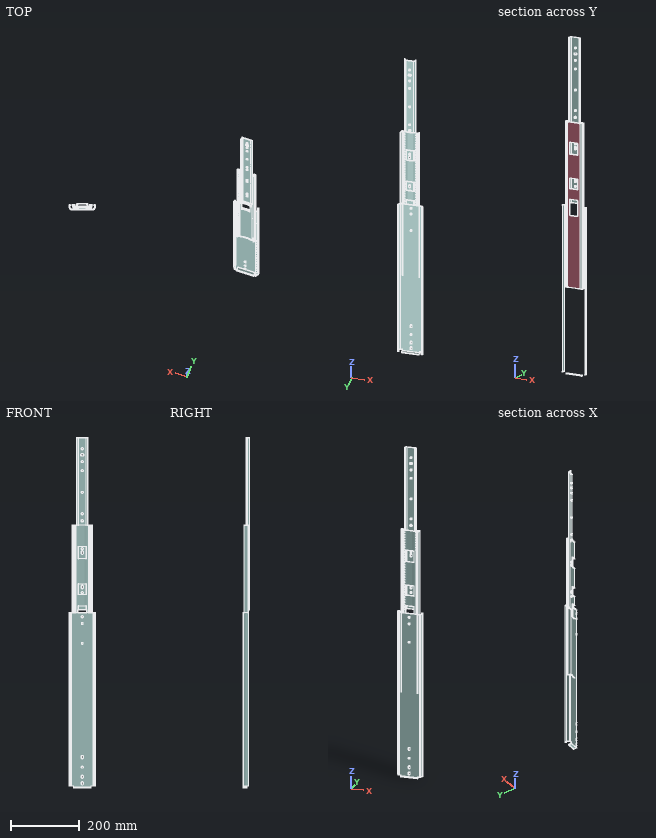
import cadquery as cq


total_length = 1016.0
travel = total_length / 4
rail_length = total_length / 2
total_width = 77.13
total_depth = 19.3
sheet = 2.4
hole_diameter = 5.2
countersink_diameter = 7.1
cutter_reach = 2 * total_depth

inner_back_half_width = 15.6
inner_bend_half_width = 17.0
inner_front_half_width = 17.4
inner_lip_width = 1.6
inner_floor_half_width = 11.6
inner_corner_y = -5.8
inner_bend_y = -5.0
inner_front_y = -9.9
inner_length = 500.0

middle_length = 500.0
middle_half_width = 29.1
middle_back_half_width = 28.2
middle_bend_half_width = 27.3
middle_tip_half_width = 25.9
middle_tip_width = sheet
middle_inner_leg_back_x = 21.8
middle_inner_leg_foot_x = 18.6
middle_back_y = -2.6
middle_shoulder_y = -5.0
middle_bend_y = -11.0
middle_front_y = -16.3
middle_web_y = -13.4
middle_raise = 1.5
raise_half_width = 7.6
raise_foot_half_width = 13.2

outer_half_width = total_width / 2
outer_back_y = -2.6
outer_lip_half_gap = 33.0
outer_lip_tip_y = -5.2
outer_side_x = 36.3
outer_side_front_y = -14.2
outer_bulge_y = (outer_back_y + outer_side_front_y) / 2
outer_corner = (35.0, -17.2)
outer_face_half_width = 32.0
tab_height = 5.0
tab_half_width = 26.0
tab_back_y = -7.5


def mirrored_rail(half_points, start_z, length):
    """Extrude along Z a profile given by its +X half, listed from x = 0 to x = 0."""
    half = cq.Workplane("XY").workplane(offset=start_z).polyline(half_points).close().extrude(length)
    return half.union(half.mirror("YZ"))


def slot(center_z, length, angle):
    """Cutter along Y for a slot; the angle is 0 along X and 90 along Z."""
    sketch = cq.Workplane("XZ").center(0, center_z).slot2D(length, hole_diameter, angle)
    return sketch.extrude(cutter_reach, both=True)


def round_hole(center_z):
    """Cutter along Y for a round hole."""
    return cq.Workplane("XZ").center(0, center_z).circle(hole_diameter / 2).extrude(cutter_reach, both=True)


inner_holes = [984, 946.5, 920.5, 857, 795, 693.5, 566.5]
inner_slots = [682, 582.8]
inner_slot_length = 9.6
inner_wide_slot_z = 966.0
inner_wide_slot_length = 9.0
inner_countersunk_z = 774.5


def build_inner_rail():
    bottom = total_length - inner_length
    lip_inside_x = inner_front_half_width - inner_lip_width
    profile = [
        (0, 0),
        (inner_back_half_width, 0),
        (inner_bend_half_width, inner_bend_y),
        (inner_front_half_width, inner_front_y),
        (lip_inside_x, inner_front_y),
        (lip_inside_x, inner_corner_y),
        (inner_floor_half_width, -sheet),
        (0, -sheet),
    ]
    rail = mirrored_rail(profile, bottom, inner_length)
    for z in inner_holes:
        rail = rail.cut(round_hole(z))
    for z in inner_slots:
        rail = rail.cut(slot(z, inner_slot_length, 90))
    rail = rail.cut(slot(inner_wide_slot_z, inner_wide_slot_length, 0))
    cone = cq.Workplane("XZ", origin=(0, -sheet, inner_countersunk_z)).circle(countersink_diameter / 2)
    cone = cone.workplane(offset=-sheet).circle(hole_diameter / 2).loft()
    return rail.cut(cone)


window_half_width = 12.6
windows = [(665, 700), (561, 592), (480, 528)]


def build_middle_rail():
    top = travel + rail_length
    web_back_y = middle_web_y + sheet
    profile = [
        (0, middle_web_y + middle_raise),
        (raise_half_width, middle_web_y + middle_raise),
        (raise_foot_half_width, middle_web_y),
        (middle_inner_leg_foot_x + sheet, middle_web_y),
        (middle_inner_leg_back_x + sheet, middle_back_y - sheet),
        (middle_back_half_width - sheet, middle_back_y - sheet),
        (middle_tip_half_width - middle_tip_width, middle_front_y),
        (middle_tip_half_width, middle_front_y),
        (middle_bend_half_width, middle_bend_y),
        (middle_half_width, middle_shoulder_y),
        (middle_back_half_width, middle_back_y),
        (middle_inner_leg_back_x, middle_back_y),
        (middle_inner_leg_foot_x, web_back_y),
        (raise_foot_half_width, web_back_y),
        (raise_half_width, web_back_y + middle_raise),
        (0, web_back_y + middle_raise),
    ]
    rail = mirrored_rail(profile, top - middle_length, middle_length)
    for low, high in windows:
        window = cq.Workplane("XY").box(2 * window_half_width, 2 * cutter_reach, high - low)
        rail = rail.cut(window.translate((0, 0, (low + high) / 2)))
    return rail


outer_holes = [496, 476, 419, 60]
outer_slots = [89, 32, 13]
outer_slot_length = 9.0


def build_outer_rail():
    front = -total_depth
    half = (
        cq.Workplane("XY").workplane(offset=tab_height)
        .moveTo(0, front)
        .lineTo(outer_face_half_width, front)
        .lineTo(*outer_corner)
        .lineTo(outer_side_x, outer_side_front_y)
        .threePointArc((outer_half_width, outer_bulge_y), (outer_side_x, outer_back_y))
        .lineTo(outer_lip_half_gap, outer_lip_tip_y)
        .threePointArc((outer_half_width - sheet, outer_bulge_y), (outer_side_x - sheet, outer_side_front_y))
        .lineTo(outer_face_half_width - sheet / 2, front + sheet)
        .lineTo(0, front + sheet)
        .close()
        .extrude(rail_length - tab_height)
    )
    rail = half.union(half.mirror("YZ"))
    tab = (
        cq.Workplane("YZ").workplane(offset=-tab_half_width)
        .polyline([
            (front, tab_height),
            (front, 0),
            (tab_back_y, 0),
            (tab_back_y, sheet),
            (front + sheet, sheet),
            (front + sheet, tab_height),
        ])
        .close()
        .extrude(2 * tab_half_width)
    )
    rail = rail.union(tab)
    for z in outer_holes:
        rail = rail.cut(round_hole(z))
    for z in outer_slots:
        rail = rail.cut(slot(z, outer_slot_length, 90))
    return rail


inner_rail = build_inner_rail()
middle_rail = build_middle_rail()
outer_rail = build_outer_rail()

result = cq.Compound.makeCompound([rail.solids().val() for rail in (inner_rail, middle_rail, outer_rail)])